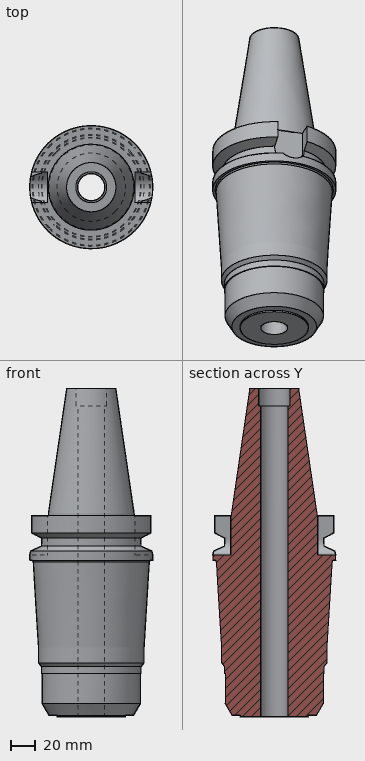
import cadquery as cq

total_height = 266.8
flange_diameter = 100.0
flange_radius = flange_diameter / 2

taper_small_radius = 20.0
taper_large_radius = 35.0
taper_bottom_z = 165.0

flange_top_z = 163.5
upper_rim_bottom_z = 149.5
groove_top_z = 145.1
groove_bottom_z = 138.7
lower_rim_top_z = 134.7
flange_bottom_z = 127.3
groove_radius = 42.2

body_top_radius = 47.2
body_top_z = 126.0
flange_underside_radius = 48.0
collar_radius = 43.0
collar_top_z = 56.0
collar_bottom_z = 44.0

neck_radius = 40.5
neck_top_z = 40.8
neck_bottom_z = 35.2
nose_radius = 40.0
nose_chamfer_z = 11.0
nose_end_radius = 34.5
nose_end_z = 1.3
end_ring_radius = 27.7

bore_radius = 11.0
counterbore_radius = 12.5
counterbore_depth = 14.1

slot_width = 25.0
slot_floor_x = 35.5
slot_bottom_z = 131.5


def revolved_body():
    """Outer profile, as (radius, z), turned about the Z axis."""
    profile = [
        (0, 0),
        (end_ring_radius, 0),
        (end_ring_radius, nose_end_z),
        (nose_end_radius, nose_end_z),
        (nose_radius, nose_chamfer_z),
        (nose_radius, neck_bottom_z),
        (neck_radius, neck_bottom_z),
        (neck_radius, neck_top_z),
        (collar_radius, collar_bottom_z),
        (collar_radius, collar_top_z),
        (body_top_radius, body_top_z),
        (flange_underside_radius, flange_bottom_z),
        (flange_radius, flange_bottom_z),
        (flange_radius, lower_rim_top_z),
        (groove_radius, groove_bottom_z),
        (groove_radius, groove_top_z),
        (flange_radius, upper_rim_bottom_z),
        (flange_radius, flange_top_z),
        (taper_large_radius, flange_top_z),
        (taper_large_radius, taper_bottom_z),
        (taper_small_radius, total_height),
        (0, total_height),
    ]
    return cq.Workplane("XZ").polyline(profile).close().revolve(360, (0, 0), (0, 1))


def bore():
    """Through hole with a wider counterbore at the top."""
    through_hole = cq.Workplane("XY").circle(bore_radius).extrude(total_height)
    counterbore = (
        cq.Workplane("XY", origin=(0, 0, total_height))
        .circle(counterbore_radius)
        .extrude(-counterbore_depth)
    )
    return through_hole.union(counterbore)


def drive_slot(side):
    """Round-bottomed slot, open at the flange top; side is +1 or -1 along X."""
    half_width = slot_width / 2
    arc_center_z = slot_bottom_z + half_width
    slot_depth = flange_radius - slot_floor_x
    return (
        cq.Workplane("YZ", origin=(side * slot_floor_x, 0, 0))
        .moveTo(-half_width, flange_top_z)
        .lineTo(-half_width, arc_center_z)
        .threePointArc((0, slot_bottom_z), (half_width, arc_center_z))
        .lineTo(half_width, flange_top_z)
        .close()
        .extrude(side * slot_depth)
    )


result = revolved_body().cut(bore())
for side in (1, -1):
    result = result.cut(drive_slot(side))